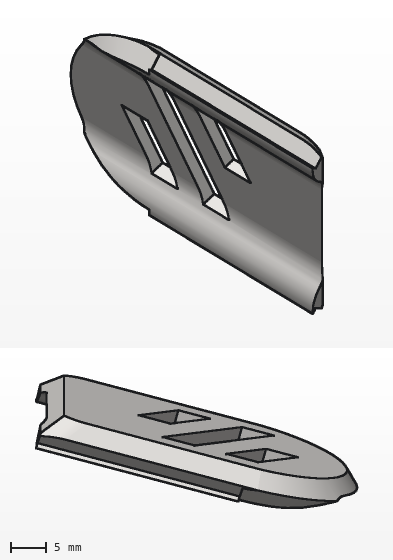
import cadquery as cq
import math

length = 45.7
depth = 5.0
half_height = 16.75
edge_depth = 2.45
plate_thickness = 2.0
land = 0.25
rim_radius = 16.85
flat_half = 7.75
lip_inner = 14.95
lip_tip = 15.6
notch_depth = 4.35

back_half = half_height - edge_depth
rim_back_radius = rim_radius - edge_depth
round_center_x = rim_back_radius + plate_thickness
notch_half = lip_tip - (depth - notch_depth)
rail_rise = depth - plate_thickness
rail_mid = (flat_half + lip_inner) / 2
rail_mid_depth = plate_thickness + rail_rise / 2

end_x_at_back = 43.0
corner_start_at_back = 39.7
corner_radius = 5.0

slot_half_height = 9.95
slot_width = 4.6
slot_pitch = 2 * slot_width
slot_middle_x = 18.4
slot_slope = math.tan(math.radians(30))


def rail_arc_middle(start, end, bulge_sign):
    """Middle point of one rail arc, tangent to the height direction at its flat end."""
    chord_height = end[1] - start[1]
    chord_depth = end[0] - start[0]
    chord = math.hypot(chord_height, chord_depth)
    half_turn = math.atan2(chord_depth, chord_height)
    sagitta = chord / 2 * math.tan(half_turn / 2)
    middle_depth = (start[0] + end[0]) / 2 + bulge_sign * sagitta * chord_height / chord
    middle_height = (start[1] + end[1]) / 2 - bulge_sign * sagitta * chord_depth / chord
    return middle_depth, middle_height


def extrude_half_section(outer_points, start_x, end_x):
    """Extrude the upper half section along X and mirror it to the lower half."""
    foot = (plate_thickness, flat_half)
    middle = (rail_mid_depth, rail_mid)
    crest = (depth, lip_inner)
    lower_bend = rail_arc_middle(foot, middle, -1)
    upper_bend = rail_arc_middle(middle, crest, 1)

    def place(point):
        return -point[0], point[1]

    section = cq.Workplane("YZ", origin=(start_x, 0, 0)).moveTo(0, 0)
    section = section.lineTo(*place((plate_thickness, 0))).lineTo(*place(foot))
    section = section.threePointArc(place(lower_bend), place(middle))
    section = section.threePointArc(place(upper_bend), place(crest))
    for point in outer_points:
        section = section.lineTo(*place(point))
    upper = section.close().extrude(end_x - start_x)
    return upper.union(upper.mirror("XY"))


def make_channel():
    """Straight stretch with the lips and V grooves along both rails."""
    outer = [
        (depth, lip_tip),
        (notch_depth, notch_half),
        (edge_depth, half_height),
        (0, back_half),
    ]
    return extrude_half_section(outer, round_center_x, length)


def make_round_end():
    """Rail section trimmed to a semicircle bevelled on both sides of its rim."""
    outer = [
        (depth, half_height),
        (edge_depth, half_height),
        (0, back_half),
    ]
    blank = extrude_half_section(outer, round_center_x - rim_radius, round_center_x)
    rim_front = edge_depth + land
    front_radius = half_height - (depth - rim_front)
    disc = (
        cq.Workplane("XY")
        .polyline([
            (0, 0),
            (rim_back_radius, 0),
            (rim_radius, -edge_depth),
            (half_height, -rim_front),
            (front_radius, -depth),
            (0, -depth),
        ])
        .close()
        .revolve(360, (0, 0, 0), (0, 1, 0))
        .translate((round_center_x, 0, 0))
    )
    return blank.intersect(disc)


def end_outline(at_depth):
    """Outline with rounded corners, shifted outwards by its depth."""
    top = back_half + at_depth
    start_x = corner_start_at_back + at_depth
    end_x = end_x_at_back + at_depth
    run = end_x - start_x

    def drop(distance):
        return corner_radius - math.sqrt(corner_radius**2 - distance**2)

    corner_z = top - drop(run)
    middle_x = start_x + run / 2
    middle_z = top - drop(run / 2)
    left_x = -length
    return (
        cq.Workplane("XZ", origin=(0, -at_depth, 0))
        .moveTo(left_x, -top)
        .lineTo(start_x, -top)
        .threePointArc((middle_x, -middle_z), (end_x, -corner_z))
        .lineTo(end_x, corner_z)
        .threePointArc((middle_x, middle_z), (start_x, top))
        .lineTo(left_x, top)
        .close()
        .val()
    )


def make_end_envelope():
    """Space kept by the slanted square end and its rounded corners."""
    return cq.Workplane(cq.Solid.makeLoft([end_outline(0), end_outline(depth)], True))


def make_slot(x_at_middle, bottom, top):
    """Slanted slot whose left edge crosses Z = 0 at x_at_middle."""
    bottom_x = x_at_middle - bottom * slot_slope
    top_x = x_at_middle - top * slot_slope
    return (
        cq.Workplane("XZ")
        .polyline([
            (bottom_x, bottom),
            (bottom_x + slot_width, bottom),
            (top_x + slot_width, top),
            (top_x, top),
        ])
        .close()
        .extrude(depth)
    )


result = make_channel().intersect(make_end_envelope()).union(make_round_end())
slots = [
    (slot_middle_x - slot_pitch, -slot_half_height, 0),
    (slot_middle_x, -slot_half_height, slot_half_height),
    (slot_middle_x + slot_pitch, 0, slot_half_height),
]
for x_at_middle, bottom, top in slots:
    result = result.cut(make_slot(x_at_middle, bottom, top))